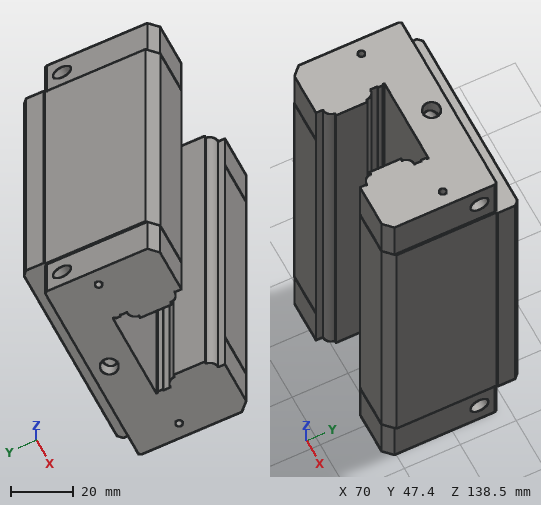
import cadquery as cq
import math

LENGTH = 138.5
CAP_LENGTH = 16.5
BODY_LENGTH = LENGTH - 2 * CAP_LENGTH

BODY_DEPTH = 47.4
BACK_WIDTH = 70.0
BACK_CHAMFER = 1.5
SHOULDER_Y = 39.7
SHOULDER_STEP = 0.4
FRONT_HALF_WIDTH = 31.0

CAP_DEPTH = SHOULDER_Y
CAP_WIDTH = 68.1
CAP_BACK_CHAMFER_X = 0.4
CAP_BACK_CHAMFER_Y = 0.8
FRONT_RECESS = 0.07

GROOVE_HALF_WIDTH = 15.7
GROOVE_DEPTH = 24.5
LAND_HALF_GAP = 11.9
LAND_LENGTH = 11.2
BULGE_CENTER_Y = 11.01
BULGE_RADIUS = 2.9
RIB_START_Y = 22.0
RIB_END_Y = 24.1
RIB_HEIGHT = 0.4

PORT_Y = 33.5
CROSS_PORT_DIAMETER = 6.4
END_PORT_DIAMETER = 6.0
PORT_INSET = 8.0
SCREW_DIAMETER = 2.4
SCREW_DEPTH = 5.5
DRILL_POINT_ANGLE = 118.0
SCREW_X = 29.0
SCREW_Y = 23.0


def prism(outline, bottom_z, length):
    """Extrude a closed XY outline upward from bottom_z."""
    return cq.Workplane("XY").workplane(offset=bottom_z).polyline(outline).close().extrude(length)


def mirrored(right_side):
    """Complete an outline from its right-hand points, listed front to back."""
    return right_side + [(-x, y) for x, y in reversed(right_side)]


def body():
    back_x = BACK_WIDTH / 2
    side_x = back_x - SHOULDER_STEP
    right_side = [
        (FRONT_HALF_WIDTH, 0),
        (side_x, side_x - FRONT_HALF_WIDTH),
        (side_x, SHOULDER_Y - SHOULDER_STEP),
        (back_x, SHOULDER_Y),
        (back_x, BODY_DEPTH - BACK_CHAMFER),
        (back_x - BACK_CHAMFER, BODY_DEPTH),
    ]
    return prism(mirrored(right_side), CAP_LENGTH, BODY_LENGTH)


def cap(bottom_z):
    side_x = CAP_WIDTH / 2
    right_side = [
        (FRONT_HALF_WIDTH, FRONT_RECESS),
        (side_x, side_x - FRONT_HALF_WIDTH + FRONT_RECESS),
        (side_x, CAP_DEPTH - CAP_BACK_CHAMFER_Y),
        (side_x - CAP_BACK_CHAMFER_X, CAP_DEPTH),
    ]
    return prism(mirrored(right_side), bottom_z, CAP_LENGTH)


def groove_wall_relief():
    """Material standing on the right groove wall: a rounded bulge with a flat land, and a small rib."""
    wall_x = GROOVE_HALF_WIDTH
    bulge_x = wall_x - BULGE_RADIUS
    land_front_y = BULGE_CENTER_Y - LAND_LENGTH / 2
    land_back_y = BULGE_CENTER_Y + LAND_LENGTH / 2
    arc_mid_offset = BULGE_RADIUS * math.sqrt(0.5)
    arc_mid_x = wall_x - arc_mid_offset
    bulge = (
        cq.Workplane("XY")
        .moveTo(wall_x, land_front_y - BULGE_RADIUS)
        .threePointArc((arc_mid_x, land_front_y - arc_mid_offset), (bulge_x, land_front_y))
        .lineTo(LAND_HALF_GAP, land_front_y)
        .lineTo(LAND_HALF_GAP, land_back_y)
        .lineTo(bulge_x, land_back_y)
        .threePointArc((arc_mid_x, land_back_y + arc_mid_offset), (wall_x, land_back_y + BULGE_RADIUS))
        .close()
        .extrude(LENGTH)
    )
    rib_outline = [
        (wall_x, RIB_START_Y),
        (wall_x - RIB_HEIGHT, RIB_START_Y),
        (wall_x - RIB_HEIGHT, RIB_END_Y - RIB_HEIGHT),
        (wall_x, RIB_END_Y),
    ]
    return bulge.union(prism(rib_outline, 0, LENGTH))


def groove():
    """Full-length cutter for the rail groove."""
    slot = prism(mirrored([(GROOVE_HALF_WIDTH, 0), (GROOVE_HALF_WIDTH, GROOVE_DEPTH)]), 0, LENGTH)
    relief = groove_wall_relief()
    return slot.cut(relief).cut(relief.mirror("YZ"))


def screw_hole(x):
    """Blind drilled hole in the upper end face, with a conical drill point."""
    radius = SCREW_DIAMETER / 2
    tip_depth = SCREW_DEPTH + radius / math.tan(math.radians(DRILL_POINT_ANGLE / 2))
    half_section = [
        (0, LENGTH),
        (radius, LENGTH),
        (radius, LENGTH - SCREW_DEPTH),
        (0, LENGTH - tip_depth),
    ]
    drill = cq.Workplane("XZ").polyline(half_section).close().revolve(360, (0, 0), (0, 1))
    return drill.translate((x, SCREW_Y, 0))


def cap_holes():
    """Holes of the upper cap: a cross port, an end port running into it, and two screw holes."""
    cross_port = (
        cq.Workplane("YZ", origin=(-CAP_WIDTH / 2, PORT_Y, LENGTH - PORT_INSET))
        .circle(CROSS_PORT_DIAMETER / 2)
        .extrude(CAP_WIDTH)
    )
    end_port = (
        cq.Workplane("XY", origin=(0, PORT_Y, LENGTH))
        .circle(END_PORT_DIAMETER / 2)
        .extrude(-PORT_INSET)
    )
    return cross_port.union(end_port).union(screw_hole(-SCREW_X)).union(screw_hole(SCREW_X))


upper_holes = cap_holes()
lower_holes = upper_holes.mirror("XY", (0, 0, LENGTH / 2))

result = body().union(cap(0)).union(cap(LENGTH - CAP_LENGTH))
result = result.cut(groove()).cut(upper_holes).cut(lower_holes)